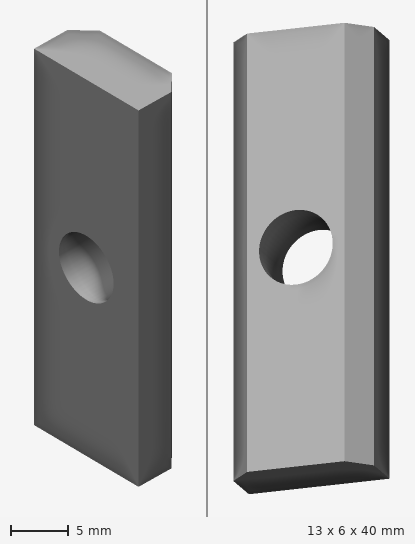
import cadquery as cq

width = 13.0
depth = 6.0
height = 40.0

bevel = 2.0
hole_diameter = 6.8

bar = cq.Workplane("XY").box(width, depth, height)

beveled_bar = bar.faces(">Y").edges("|Z").chamfer(bevel)

result = beveled_bar.faces("<Y").workplane(centerOption="CenterOfBoundBox").hole(hole_diameter)